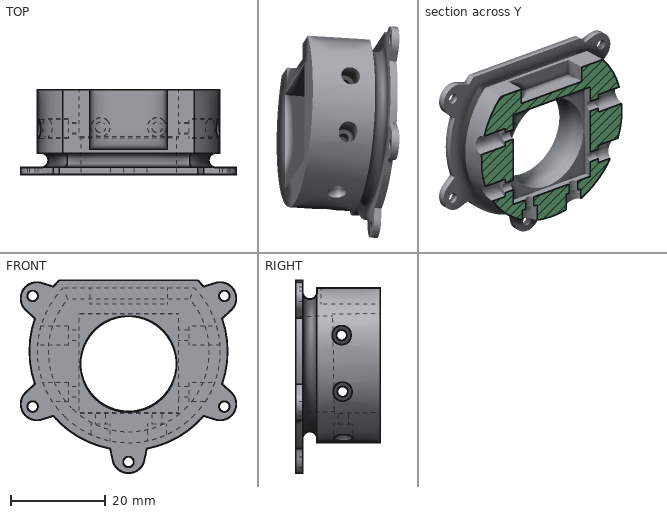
import cadquery as cq
import math


overall_width = 45.7

flange_radius = 21.0
flange_top = 15.07
flange_thickness = 1.55
tab_angles = (30, 150, 210, 270, 330)
tab_centre_radius = 22.4
tab_end_radius = overall_width / 2 - tab_centre_radius * math.cos(math.radians(tab_angles[0]))
tab_taper = math.radians(12)
tab_root_radius = 18.25
tab_hole_radius = 23.45
small_hole_diameter = 2.2

total_depth = 18.0
body_inset = 1.65
body_radius = flange_radius - body_inset
body_top = flange_top - body_inset
body_front = 4.5

neck_inset = 2.35
neck_radius = body_radius - neck_inset
neck_top = body_top - neck_inset
neck_flat = 0.27
neck_fillet = (body_front - flange_thickness - neck_flat) / 2

notch_width = 16.45
notch_floor = 10.05
notch_front = 5.35

tilt_angle = 1.0
bore_centre_z = -2.75
bore_diameter = 20.3
bore_depth = 8.0
pocket_side = 21.0
screw_spacing = 11.95
screw_depth = 9.85
counterbore_diameter = 4.0
counterbore_seat = 2.3
overcut = 2.3


def disc_with_flat(radius, top, front, back):
    """Disc along Y whose upper side is cut flat at the height `top`."""
    corner_x = math.sqrt(radius**2 - top**2)
    return (
        cq.Workplane("XZ", origin=(0, front, 0))
        .moveTo(-corner_x, top)
        .threePointArc((0, -radius), (corner_x, top))
        .close()
        .extrude(front - back)
    )


def mounting_tab(angle):
    """Tapered tab with a tangent round end, reaching outward at `angle`."""
    tangent_reach = tab_centre_radius + tab_end_radius * math.sin(tab_taper)
    tangent_half_width = tab_end_radius * math.cos(tab_taper)
    root_half_width = tangent_half_width + (tangent_reach - tab_root_radius) * math.tan(tab_taper)
    tab = (
        cq.Workplane("XZ")
        .moveTo(tab_root_radius, -root_half_width)
        .lineTo(tangent_reach, -tangent_half_width)
        .threePointArc(
            (tab_centre_radius + tab_end_radius, 0), (tangent_reach, tangent_half_width)
        )
        .lineTo(tab_root_radius, root_half_width)
        .close()
        .extrude(-flange_thickness)
    )
    return tab.rotate((0, 0, 0), (0, 1, 0), -angle)


def flange():
    plate = disc_with_flat(flange_radius, flange_top, 0, flange_thickness)
    for angle in tab_angles:
        plate = plate.union(mounting_tab(angle))
    for angle in tab_angles:
        hole = (
            cq.Workplane("XZ")
            .center(tab_hole_radius, 0)
            .circle(small_hole_diameter / 2)
            .extrude(-flange_thickness)
            .rotate((0, 0, 0), (0, 1, 0), -angle)
        )
        plate = plate.cut(hole)
    return plate


def neck_profile(base, height):
    """Neck section from `base` up to `height`, flaring with an arc to both ends."""
    rim = height + neck_fillet
    arc_offset = neck_fillet * math.sqrt(0.5)
    flat_front = flange_thickness + neck_fillet
    flat_back = body_front - neck_fillet
    return (
        cq.Workplane("YZ")
        .moveTo(flange_thickness, base)
        .lineTo(flange_thickness, rim)
        .threePointArc((flat_front - arc_offset, rim - arc_offset), (flat_front, height))
        .lineTo(flat_back, height)
        .threePointArc((flat_back + arc_offset, rim - arc_offset), (body_front, rim))
        .lineTo(body_front, base)
        .close()
    )


def neck():
    round_neck = neck_profile(0, neck_radius).revolve(360, (0, 0), (1, 0))
    flat_topped_neck = neck_profile(-body_radius, neck_top).extrude(body_radius, both=True)
    return round_neck.intersect(flat_topped_neck)


def body():
    block = disc_with_flat(body_radius, body_top, body_front, total_depth)
    notch = cq.Workplane("XY").box(
        notch_width, total_depth, body_top, centered=(True, False, False)
    )
    return block.cut(notch.translate((0, notch_front, notch_floor)))


def screw_hole(direction, sideways):
    """Counterbored hole from the pocket wall outward, offset along `sideways`."""
    wall = pocket_side / 2
    start = sideways * (screw_spacing / 2) + cq.Vector(0, screw_depth, 0)
    seat = start + direction * (wall + counterbore_seat)
    shaft = cq.Solid.makeCylinder(small_hole_diameter / 2, body_radius, start, direction)
    head = cq.Solid.makeCylinder(counterbore_diameter / 2, body_radius, seat, direction)
    return cq.Workplane(shaft).union(cq.Workplane(head))


def inner_cuts():
    """Bore, pocket and screw holes about the Y axis, then tilted and lowered."""
    cuts = (
        cq.Workplane("XZ", origin=(0, -overcut, 0))
        .circle(bore_diameter / 2)
        .extrude(-(bore_depth + overcut))
    )
    pocket_depth = total_depth + overcut - bore_depth
    pocket = (
        cq.Workplane("XZ", origin=(0, bore_depth, 0))
        .rect(pocket_side, pocket_side)
        .extrude(-pocket_depth)
    )
    cuts = cuts.union(pocket)
    left, right = cq.Vector(-1, 0, 0), cq.Vector(1, 0, 0)
    down, up = cq.Vector(0, 0, -1), cq.Vector(0, 0, 1)
    for direction, sideways in (
        (left, up), (left, down), (right, up), (right, down), (down, left), (down, right)
    ):
        cuts = cuts.union(screw_hole(direction, sideways))
    return cuts.rotate((0, 0, 0), (1, 0, 0), tilt_angle).translate((0, 0, bore_centre_z))


result = flange().union(neck()).union(body()).cut(inner_cuts())